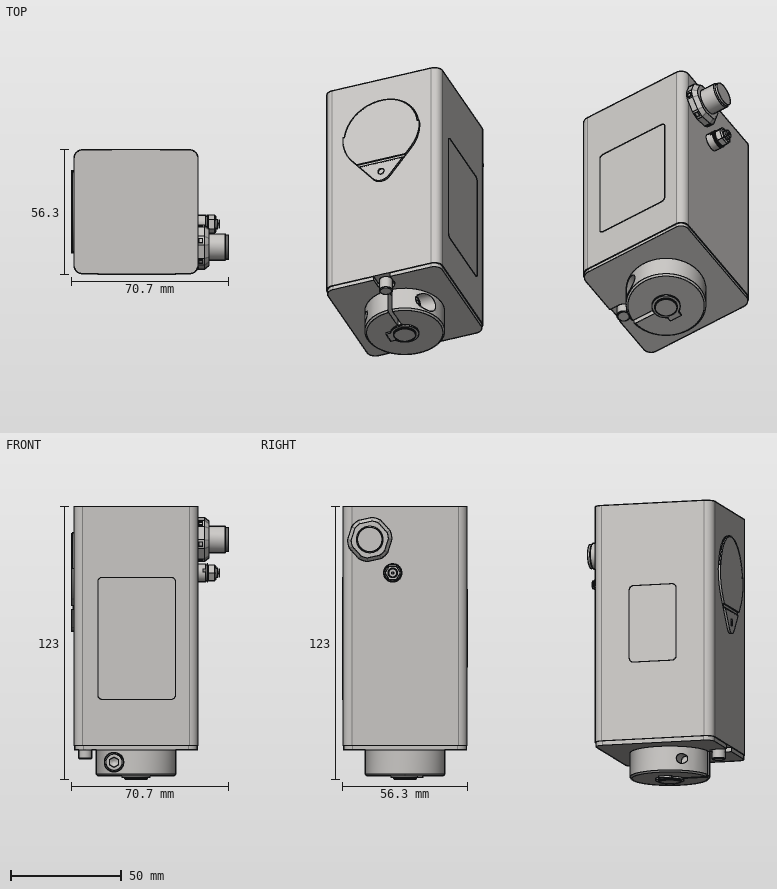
import cadquery as cq
import math

HOUSING_SIZE = 56.0
HOUSING_HEIGHT = 107.8
HOUSING_CORNER = 4.0
HALF = HOUSING_SIZE / 2

PLATE_INSET = 0.3
PLATE_SIZE = HOUSING_SIZE - 2 * PLATE_INSET
PLATE_THICKNESS = 2.0
PLATE_NOTCH_WIDTH = 8.0

PIN_X = -22.9
PIN_DIAMETER = 6.0
PIN_PROJECTION = 4.0
PIN_CHAMFER = 0.4

HUB_DIAMETER = 36.0
HUB_RADIUS = HUB_DIAMETER / 2
HUB_HEIGHT = 11.7
HUB_CHAMFER = 0.8
HUB_SLOT_WIDTH = 2.0
HUB_TOP = -PLATE_THICKNESS
HUB_BOTTOM = HUB_TOP - HUB_HEIGHT

SCREW_X = -9.9
SCREW_Z = HUB_TOP - 5.5
SCREW_DIAMETER = 5.0
SCREW_HEAD_DIAMETER = 8.5
SCREW_HEAD_CHAMFER = 0.6
SCREW_HEAD_TOP_Y = -10.4
SCREW_HEAD_HEIGHT = 5.0
SOCKET_ACROSS_FLATS = 4.0
SOCKET_DEPTH = 2.5
SOCKET_CONE_DEPTH = 1.2
COUNTERBORE_DIAMETER = 8.8
THREAD_HOLE_DIAMETER = 4.46
THREAD_HOLE_START_Y = 8.0

SHAFT_DIAMETER = 12.0
SHAFT_TIP_DIAMETER = 10.3
SHAFT_TIP_CHAMFER = 0.3
SHAFT_PROJECTION = 1.5
RING_DIAMETER = 12.8
RING_THICKNESS = 0.8
RING_LUG_REACH = 8.0
RING_LUG_WIDTH = 6.0

COVER_THICKNESS = 1.0
COVER_RADIUS = 18.5
COVER_CAP_RADIUS = 18.1
COVER_CAP_BEVEL = 0.45
COVER_CAP_OFFSET = 2.0
COVER_CENTRE_Z = HOUSING_HEIGHT - 30.0
COVER_TIP_RADIUS = 5.0
COVER_TIP_DROP = 21.4
COVER_HOLE_DIAMETER = 3.0
COVER_HOLE_DEPTH = 0.6
COVER_GROOVE_DROP = 15.6
COVER_GROOVE_WIDTH = 1.6
COVER_GROOVE_DEPTH = 0.6

LABEL_THICKNESS = 0.15
LABEL_CORNER = 2.0
FRONT_LABEL_WIDTH = 35.0
FRONT_LABEL_HEIGHT = 55.0
FRONT_LABEL_X = 0.3
FRONT_LABEL_Z = HOUSING_HEIGHT - 59.5
REAR_LABEL_WIDTH = 22.0
REAR_LABEL_HEIGHT = 35.0
REAR_LABEL_Z = HOUSING_HEIGHT - 55.0

PLUG_Y = -15.9
PLUG_Z = HOUSING_HEIGHT - 14.95
PLUG_NUT_DIAMETER = 20.0
PLUG_NUT_ACROSS_FLATS = 19.0
PLUG_NUT_TURN = 17.5
PLUG_NUT_STRAIGHT = 2.8
PLUG_NUT_LENGTH = 4.9
PLUG_NUT_INSET = 1.6
PLUG_BARREL_RADIUS = 6.0
PLUG_BARREL_END = 12.1
PLUG_NOSE_RADIUS = 5.5
PLUG_NOSE_START = 12.6
PLUG_LENGTH = 13.65
POCKET_WIDTH = 2.0
POCKET_START = 0.4
POCKET_LENGTH = 1.6
POCKET_DEPTH = 0.5

VALVE_Y = -5.55
VALVE_Z = HOUSING_HEIGHT - 30.0
COLLAR_DIAMETER = 8.2
COLLAR_LENGTH = 3.6
COLLAR_CHAMFER = 0.2
COLLAR_NOTCH_WIDTH = 1.5
COLLAR_NOTCH_LENGTH = 1.5
COLLAR_NOTCH_DEPTH = 0.6
COLLAR_NOTCH_RISE = 1.1
NECK_DIAMETER = 7.2
WASHER_START = 4.1
WASHER_DIAMETER = 8.3
WASHER_END = 4.3
VALVE_HEX_START = 4.6
VALVE_HEX_CORNERS = 8.4
VALVE_HEX_STRAIGHT = 2.7
VALVE_HEX_LENGTH = 3.4
VALVE_HEX_INSET = 0.7
TIP_DIAMETER = 4.3
TIP_END = 8.75
STEM_DIAMETER = 1.0
END_DISC_DIAMETER = 3.6
END_DISC_THICKNESS = 0.1
VALVE_LENGTH = 9.6

HEX_SIDES = 6
HEX_STEP = 360 / HEX_SIDES
HEX_CORNER_RATIO = 1 / math.cos(math.pi / HEX_SIDES)


def rounded_block(size, height, bottom_z):
    block = cq.Workplane("XY").workplane(offset=bottom_z).rect(size, size).extrude(height)
    return block.edges("|Z").fillet(HOUSING_CORNER)


def cylinder_z(diameter, bottom_z, top_z, x=0.0):
    plane = cq.Workplane("XY").workplane(offset=bottom_z)
    return plane.center(x, 0).circle(diameter / 2).extrude(top_z - bottom_z)


def screw_axis_cylinder(diameter, start_y, end_y):
    """Cylinder on the clamp screw axis, from start_y to end_y."""
    plane = cq.Workplane("XZ", origin=(SCREW_X, start_y, SCREW_Z))
    return plane.circle(diameter / 2).extrude(start_y - end_y)


def side_cylinder(diameter, start, end):
    """Cylinder along +X, centred on the X axis."""
    return cq.Workplane("YZ").workplane(offset=start).circle(diameter / 2).extrude(end - start)


def revolved_about_x(profile):
    """Solid of revolution about the X axis from (x, radius) points."""
    return cq.Workplane("XY").polyline(profile).close().revolve(360, (0, 0, 0), (1, 0, 0))


def tapered_nut(section, straight, length, inset):
    """Solid along +X from a YZ section: straight first, then narrowing by inset at its end."""
    taper = math.degrees(math.atan2(inset, length - straight))
    body = section.extrude(straight)
    return body.faces(">X").wires().toPending().workplane().extrude(length - straight, taper=taper)


def make_plate():
    plate = rounded_block(PLATE_SIZE, PLATE_THICKNESS, -PLATE_THICKNESS)
    notch_length = HALF + PIN_X
    notch = (
        cq.Workplane("XY")
        .box(notch_length, PLATE_NOTCH_WIDTH, PLATE_THICKNESS, centered=(False, True, False))
        .translate((-HALF, 0, -PLATE_THICKNESS))
    )
    notch_end = cylinder_z(PLATE_NOTCH_WIDTH, -PLATE_THICKNESS, 0, PIN_X)
    return plate.cut(notch).cut(notch_end)


def make_pin():
    pin = cylinder_z(PIN_DIAMETER, -PLATE_THICKNESS - PIN_PROJECTION, 0, PIN_X)
    return pin.faces("<Z").chamfer(PIN_CHAMFER)


def make_clamp_screw():
    head_seat_y = SCREW_HEAD_TOP_Y + SCREW_HEAD_HEIGHT
    head = screw_axis_cylinder(SCREW_HEAD_DIAMETER, head_seat_y, SCREW_HEAD_TOP_Y)
    head = head.faces("<Y").chamfer(SCREW_HEAD_CHAMFER)
    socket_corners = SOCKET_ACROSS_FLATS * HEX_CORNER_RATIO
    cone_tip_y = SCREW_HEAD_TOP_Y + SOCKET_DEPTH
    socket = (
        cq.Workplane("XZ", origin=(SCREW_X, cone_tip_y, SCREW_Z))
        .transformed(rotate=(0, 0, 90))
        .polygon(HEX_SIDES, socket_corners)
        .extrude(SOCKET_DEPTH)
    )
    pointed_rod = (
        cq.Workplane("XY", origin=(SCREW_X, cone_tip_y, SCREW_Z))
        .polyline([
            (0, 0),
            (socket_corners / 2, -SOCKET_CONE_DEPTH),
            (socket_corners / 2, -SOCKET_DEPTH),
            (0, -SOCKET_DEPTH),
        ])
        .close()
        .revolve(360, (0, 0, 0), (0, 1, 0))
    )
    socket = socket.intersect(pointed_rod)
    shank = screw_axis_cylinder(SCREW_DIAMETER, THREAD_HOLE_START_Y, head_seat_y)
    return head.cut(socket).union(shank)


def make_hub():
    hub = cylinder_z(HUB_DIAMETER, HUB_BOTTOM, HUB_TOP).faces("<Z").chamfer(HUB_CHAMFER)
    slot = (
        cq.Workplane("XY")
        .box(HUB_RADIUS, HUB_SLOT_WIDTH, HUB_HEIGHT, centered=(False, True, False))
        .translate((-HUB_RADIUS, 0, HUB_BOTTOM))
    )
    head_seat_y = SCREW_HEAD_TOP_Y + SCREW_HEAD_HEIGHT
    counterbore = screw_axis_cylinder(COUNTERBORE_DIAMETER, head_seat_y, -HUB_RADIUS)
    thread_hole = screw_axis_cylinder(THREAD_HOLE_DIAMETER, HUB_RADIUS, THREAD_HOLE_START_Y)
    hub = hub.cut(slot).cut(counterbore).cut(thread_hole)
    return hub.union(make_clamp_screw())


def make_shaft_end():
    tip_z = HUB_BOTTOM - SHAFT_PROJECTION
    ring_z = HUB_BOTTOM - RING_THICKNESS
    shaft = cylinder_z(SHAFT_DIAMETER, HUB_BOTTOM, HUB_TOP)
    tip = cylinder_z(SHAFT_TIP_DIAMETER, tip_z, HUB_BOTTOM).faces("<Z").chamfer(SHAFT_TIP_CHAMFER)
    ring = cylinder_z(RING_DIAMETER, ring_z, HUB_BOTTOM)
    lug = (
        cq.Workplane("XY")
        .box(RING_LUG_WIDTH, RING_LUG_REACH, RING_THICKNESS, centered=(True, False, False))
        .translate((0, 0, ring_z))
    )
    return shaft.union(tip).union(ring).union(lug)


def teardrop_outline():
    """Closed teardrop on the -X face: body arc above, tangent flanks to the tip arc below."""
    flank_angle = math.asin((COVER_RADIUS - COVER_TIP_RADIUS) / COVER_TIP_DROP)
    side = math.cos(flank_angle)
    drop = math.sin(flank_angle)
    body_y = COVER_RADIUS * side
    body_z = COVER_CENTRE_Z - COVER_RADIUS * drop
    tip_centre_z = COVER_CENTRE_Z - COVER_TIP_DROP
    tip_y = COVER_TIP_RADIUS * side
    tip_z = tip_centre_z - COVER_TIP_RADIUS * drop
    return (
        cq.Workplane("YZ")
        .workplane(offset=-HALF - COVER_THICKNESS)
        .moveTo(body_y, body_z)
        .threePointArc((0, COVER_CENTRE_Z + COVER_RADIUS), (-body_y, body_z))
        .lineTo(-tip_y, tip_z)
        .threePointArc((0, tip_centre_z - COVER_TIP_RADIUS), (tip_y, tip_z))
        .close()
    )


def make_cover():
    outer_x = -HALF - COVER_THICKNESS
    cap_start_z = COVER_CENTRE_Z + COVER_CAP_OFFSET
    upper_region = (
        cq.Workplane("XY")
        .box(COVER_THICKNESS, 2 * COVER_RADIUS, COVER_RADIUS, centered=(False, True, False))
        .translate((outer_x, 0, cap_start_z))
    )
    cap = (
        cq.Workplane("YZ", origin=(outer_x, 0, COVER_CENTRE_Z))
        .circle(COVER_CAP_RADIUS)
        .extrude(COVER_THICKNESS)
        .faces("<X")
        .chamfer(COVER_CAP_BEVEL)
        .intersect(upper_region)
    )
    cover = teardrop_outline().extrude(COVER_THICKNESS).cut(upper_region).union(cap)
    groove = (
        cq.Workplane("XY")
        .box(COVER_GROOVE_DEPTH, 2 * COVER_RADIUS, COVER_GROOVE_WIDTH, centered=(False, True, True))
        .translate((outer_x, 0, COVER_CENTRE_Z - COVER_GROOVE_DROP))
    )
    hole = (
        cq.Workplane("YZ", origin=(outer_x, 0, COVER_CENTRE_Z - COVER_TIP_DROP))
        .circle(COVER_HOLE_DIAMETER / 2)
        .extrude(COVER_HOLE_DEPTH)
    )
    return cover.cut(groove).cut(hole)


def make_label(width, height, x, y, z):
    """Thin rounded plate standing in the XZ plane, centred on (x, y, z)."""
    label = cq.Workplane("XY").box(width, 2 * LABEL_THICKNESS, height)
    return label.edges("|Y").fillet(LABEL_CORNER).translate((x, y, z))


def make_plug():
    round_section = cq.Sketch().circle(PLUG_NUT_DIAMETER / 2)
    hexagon_radius = PLUG_NUT_ACROSS_FLATS * HEX_CORNER_RATIO / 2
    hexagon = cq.Sketch().regularPolygon(hexagon_radius, HEX_SIDES, angle=HEX_STEP / 2)
    section = cq.Workplane("YZ").placeSketch(round_section * hexagon)
    nut = tapered_nut(section, PLUG_NUT_STRAIGHT, PLUG_NUT_LENGTH, PLUG_NUT_INSET)
    for index in range(HEX_SIDES):
        pocket = (
            cq.Workplane("XY")
            .box(POCKET_LENGTH, 2 * POCKET_DEPTH, POCKET_WIDTH, centered=(False, True, True))
            .translate((POCKET_START, PLUG_NUT_DIAMETER / 2, 0))
            .rotate((0, 0, 0), (1, 0, 0), index * HEX_STEP)
        )
        nut = nut.cut(pocket)
    nut = nut.rotate((0, 0, 0), (1, 0, 0), HEX_STEP / 2 - PLUG_NUT_TURN)
    barrel = revolved_about_x([
        (0, 0),
        (0, PLUG_BARREL_RADIUS),
        (PLUG_BARREL_END, PLUG_BARREL_RADIUS),
        (PLUG_NOSE_START, PLUG_NOSE_RADIUS),
        (PLUG_LENGTH, PLUG_NOSE_RADIUS),
        (PLUG_LENGTH, 0),
    ])
    return nut.union(barrel).translate((HALF, PLUG_Y, PLUG_Z))


def make_valve():
    collar = side_cylinder(COLLAR_DIAMETER, 0, COLLAR_LENGTH).faces(">X").chamfer(COLLAR_CHAMFER)
    notch_x = COLLAR_LENGTH - COLLAR_NOTCH_LENGTH
    notch_y = COLLAR_NOTCH_DEPTH - COLLAR_DIAMETER
    notch = (
        cq.Workplane("XY")
        .box(COLLAR_NOTCH_LENGTH, COLLAR_DIAMETER / 2, COLLAR_NOTCH_WIDTH, centered=(False, False, True))
        .translate((notch_x, notch_y, COLLAR_NOTCH_RISE))
    )
    neck = side_cylinder(NECK_DIAMETER, 0, VALVE_HEX_START)
    washer = side_cylinder(WASHER_DIAMETER, WASHER_START, WASHER_END)
    section = cq.Workplane("YZ").workplane(offset=VALVE_HEX_START).polygon(HEX_SIDES, VALVE_HEX_CORNERS)
    hexagon = tapered_nut(section, VALVE_HEX_STRAIGHT, VALVE_HEX_LENGTH, VALVE_HEX_INSET)
    tip = side_cylinder(TIP_DIAMETER, VALVE_HEX_START, TIP_END)
    stem = side_cylinder(STEM_DIAMETER, TIP_END, VALVE_LENGTH)
    end_disc = side_cylinder(END_DISC_DIAMETER, VALVE_LENGTH - END_DISC_THICKNESS, VALVE_LENGTH)
    valve = collar.cut(notch)
    for section in (neck, washer, hexagon, tip, stem, end_disc):
        valve = valve.union(section)
    return valve.translate((HALF, VALVE_Y, VALVE_Z))


front_label = make_label(FRONT_LABEL_WIDTH, FRONT_LABEL_HEIGHT, FRONT_LABEL_X, -HALF, FRONT_LABEL_Z)
rear_label = make_label(REAR_LABEL_WIDTH, REAR_LABEL_HEIGHT, 0, HALF, REAR_LABEL_Z)

result = rounded_block(HOUSING_SIZE, HOUSING_HEIGHT, 0)
for feature in (
    make_plate(),
    make_pin(),
    make_hub(),
    make_shaft_end(),
    make_cover(),
    front_label,
    rear_label,
    make_plug(),
    make_valve(),
):
    result = result.union(feature)